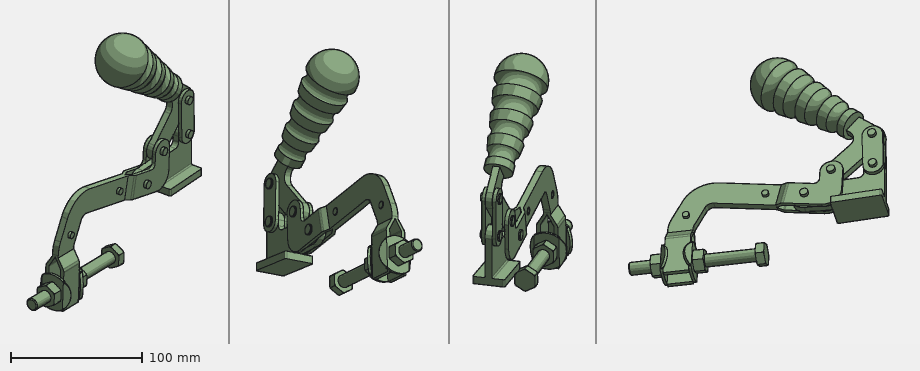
import cadquery as cq
import math


core_half = 2.8
link_outer = 5.8
arm_sheet = 2.8

link_low_pivot = (8.4, 38.0)
link_top_pivot = (9.0, 68.0)
lobe_pivot = (40.9, 38.0)
arm_pivot = (61.8, 18.7)
link_radius = 8.0

pivot_rivet = (-7.2, 4.2, 8.4, 3.2)
arm_rivet = (-3.2, 3.0, 5.2, 2.5)
rivet_chamfer = 0.4

pad_length = 40.3
pad_width = 25.5
pad_height = 6.0
pad_fillet = 1.0
pad_corner = 1.2
post_width = 16.4
base_end_radius = 10.5
base_top = arm_pivot[1] + base_end_radius
base_front = arm_pivot[0] + base_end_radius
base_fillet = 4.0

handle_half_width = 8.8
handle_inner_fillet = 8.5
stem_half_width = 7.5
stem_inset = 10.0
grip_start = (25.0, 84.0)
grip_angle = 41.2
collar_radius = 11.4
collar_length = 6.8
band_start = 16.5
band_length = 8.8
band_pitch = 20.0
band_count = 3
band_radius = 12.8
band_growth = 1.4
band_step = 2.5
groove_radius = 10.2
groove_step = 2.4
ball_radius = 21.0
ball_place = 78.4

arm_half_width = 10.0
arm_bend_radius = 16.0
arm_fold_radius = 4.8
arm_angle = 13.0
slope_angle = -62.0
fork_angle = -87.2
rear_rivet = (92.7, 26.1)
front_rivet = (154.5, 16.4)
arm_bend = (143.0, 37.7)
slope_length = 34.3
joggle_start = -15.8
joggle_end = -10.2
arm_reach = 119.7
lobe_radius = 9.0
lobe_heel_radius = 13.0
lobe_throat_radius = 4.0

fork_outer = 8.5
fork_sheet = 3.2
spread_start = 5.4
spread_end = 14.5
bolt_drop = 35.0
fork_end = bolt_drop + 14.5

bolt_radius = 5.0
hex_flats = 16.4
hex_chamfer = 0.5
head_near = 61.2
head_thickness = 6.8
nut_thickness = 8.5
tip_place = 38.5
tip_chamfer = 0.8
washer_thickness = 2.2
washer_height = 30.0
washer_width = 32.7
washer_flat_half = 10.0
ear_bend = 45.0

shortest_edge = 1.99e-06


def heading(angle):
    return (math.cos(math.radians(angle)), math.sin(math.radians(angle)))


def shifted(point, angle, along, left=0.0):
    """Point moved along a heading and to the left of it."""
    c, s = heading(angle)
    return (point[0] + along * c - left * s, point[1] + along * s + left * c)


def crossing(p, p_angle, q, q_angle):
    """Crossing of two lines, each given by a point and a heading."""
    pc, ps = heading(p_angle)
    qc, qs = heading(q_angle)
    along = ((q[0] - p[0]) * qs - (q[1] - p[1]) * qc) / (pc * qs - ps * qc)
    return (p[0] + along * pc, p[1] + along * ps)


def side_plane(x=0.0, origin=(0.0, 0.0), angle=0.0):
    """Side plane facing -X, with its first axis along a (forward, height) heading."""
    c, s = heading(angle)
    return cq.Plane(origin=(x, -origin[0], origin[1]), xDir=(0, -c, s), normal=(-1, 0, 0))


def edge_plane(origin, angle):
    """Plane spanned by a (forward, height) heading and the +X axis."""
    c, s = heading(angle)
    return cq.Plane(origin=(0, -origin[0], origin[1]), xDir=(0, -c, s), normal=(0, s, c))


def rounded_outline(workplane, corners):
    """Closed outline from (point, radius) corners."""
    stations = []
    for i, (point, radius) in enumerate(corners):
        before = corners[i - 1][0]
        after = corners[(i + 1) % len(corners)][0]
        back = math.atan2(before[1] - point[1], before[0] - point[0])
        ahead = math.atan2(after[1] - point[1], after[0] - point[0])
        half = abs(math.remainder(ahead - back, 2 * math.pi)) / 2
        trim = radius / math.tan(half)
        bisector = back + math.remainder(ahead - back, 2 * math.pi) / 2
        sagitta = radius / math.sin(half) - radius
        stations.append([
            (point[0] + d * math.cos(a), point[1] + d * math.sin(a))
            for d, a in ((trim, back), (sagitta, bisector), (trim, ahead))
        ])
    last = stations[0][2]
    outline = workplane.moveTo(*last)
    for start, middle, end in stations[1:] + stations[:1]:
        if math.dist(last, start) > shortest_edge:
            outline = outline.lineTo(*start)
        if math.dist(start, end) > shortest_edge:
            outline = outline.threePointArc(middle, end)
        last = end
    return outline.close()


def plate(corners, half_thickness):
    outline = rounded_outline(cq.Workplane(side_plane()), corners)
    return outline.extrude(half_thickness, both=True)


def with_mirror(body):
    return body.union(body.mirror("YZ"))


def make_base():
    pad = (
        cq.Workplane("XY")
        .box(pad_width, pad_length, pad_height, centered=(True, False, False))
        .translate((0, -pad_length, 0))
        .edges("|Z").fillet(pad_corner)
    )
    foot_half = core_half + pad_fillet
    foot = (
        cq.Workplane("XZ", origin=(0, 0, pad_height))
        .moveTo(-foot_half, 0)
        .radiusArc((-core_half, pad_fillet), -pad_fillet)
        .lineTo(core_half, pad_fillet)
        .radiusArc((foot_half, 0), -pad_fillet)
        .close()
        .extrude(pad_length)
    )
    post_top = link_low_pivot[1] + link_radius
    web = plate([
        ((0, 0), 0),
        ((0, post_top), link_radius),
        ((post_width, post_top), link_radius),
        ((post_width, base_top), base_fillet),
        ((base_front, base_top), base_end_radius),
        ((base_front, arm_pivot[1] - base_end_radius), base_end_radius),
        ((pad_length, pad_height), 0),
        ((pad_length, 0), 0),
    ], core_half)
    return pad.union(foot).union(web)


def make_link():
    rise = link_top_pivot[1] - link_low_pivot[1]
    lean = link_top_pivot[0] - link_low_pivot[0]
    middle = (
        (link_low_pivot[0] + link_top_pivot[0]) / 2,
        (link_low_pivot[1] + link_top_pivot[1]) / 2,
    )
    return (
        cq.Workplane(side_plane(-core_half, middle, math.degrees(math.atan2(rise, lean))))
        .slot2D(math.hypot(rise, lean) + 2 * link_radius, 2 * link_radius)
        .extrude(link_outer - core_half)
    )


def make_handle_plate():
    leg_angle = math.degrees(math.atan2(
        lobe_pivot[1] - link_top_pivot[1], lobe_pivot[0] - link_top_pivot[0]))
    upper = shifted(lobe_pivot, leg_angle, handle_half_width, handle_half_width)
    lower = shifted(lobe_pivot, leg_angle, handle_half_width, -handle_half_width)
    stem_left = shifted(grip_start, grip_angle, stem_inset, stem_half_width)
    stem_right = shifted(grip_start, grip_angle, stem_inset, -stem_half_width)
    return plate([
        (stem_left, 0),
        (stem_right, 0),
        (crossing(stem_right, grip_angle, upper, leg_angle), handle_inner_fillet),
        (upper, handle_half_width),
        (lower, handle_half_width),
        (crossing(lower, leg_angle, stem_left, grip_angle), handle_half_width),
    ], core_half)


def make_grip():
    profile = (
        cq.Workplane(side_plane(0, grip_start, grip_angle))
        .lineTo(0, collar_radius)
        .lineTo(collar_length, collar_radius)
    )
    last = collar_length
    for i in range(band_count):
        start = band_start + i * band_pitch
        radius = band_radius + i * band_step
        profile = (
            profile
            .threePointArc(((last + start) / 2, groove_radius + i * groove_step), (start, radius))
            .lineTo(start + band_length, radius + band_growth)
        )
        last = start + band_length
    ball_start = band_start + band_count * band_pitch
    ball_edge = math.sqrt(ball_radius**2 - (ball_place - ball_start)**2)
    groove = ((last + ball_start) / 2, groove_radius + band_count * groove_step)
    return (
        profile
        .threePointArc(groove, (ball_start, ball_edge))
        .threePointArc((ball_place, ball_radius), (ball_place + ball_radius, 0))
        .close()
        .revolve(360, (0, 0), (1, 0))
    )


slope_end = shifted(arm_bend, slope_angle, slope_length)


def make_arm():
    """Two plates: spread around the base, pressed together ahead of the joggle."""
    def edge_corner(point, angle_in, angle_out, left):
        return crossing(
            shifted(point, angle_in, 0, left), angle_in,
            shifted(point, angle_out, 0, left), angle_out)

    def bend_corners(left):
        radius = arm_bend_radius + left
        return [
            (edge_corner(arm_bend, arm_angle, slope_angle, left), radius),
            (edge_corner(slope_end, slope_angle, fork_angle, left), radius),
            (shifted(slope_end, fork_angle, spread_start, left), 0),
        ]

    lobe_rear = shifted(lobe_pivot, fork_angle, 0, -lobe_radius)
    lobe_front = shifted(lobe_pivot, fork_angle, 0, lobe_radius)
    top_edge = shifted(rear_rivet, arm_angle, 0, arm_half_width)
    bottom_edge = shifted(rear_rivet, arm_angle, 0, -arm_half_width)
    silhouette = plate([
        (shifted(lobe_rear, fork_angle, -lobe_radius), lobe_radius),
        (shifted(lobe_front, fork_angle, -lobe_radius), lobe_radius),
        (crossing(lobe_front, fork_angle, top_edge, arm_angle), lobe_throat_radius),
        *bend_corners(arm_half_width),
        *reversed(bend_corners(-arm_half_width)),
        (crossing(bottom_edge, arm_angle, lobe_rear, fork_angle), lobe_heel_radius),
    ], link_outer)
    layer_outline = rounded_outline(cq.Workplane(edge_plane(rear_rivet, arm_angle)), [
        ((-arm_reach, link_outer), 0),
        ((joggle_start, link_outer), arm_fold_radius),
        ((joggle_end, arm_sheet), 0),
        ((arm_reach, arm_sheet), 0),
        ((arm_reach, 0), 0),
        ((joggle_end, 0), 0),
        ((joggle_start, core_half), arm_fold_radius - arm_sheet),
        ((-arm_reach, core_half), 0),
    ])
    layer = layer_outline.extrude(arm_reach, both=True)
    return silhouette.intersect(with_mirror(layer))


def make_fork():
    fork_inner = fork_outer - fork_sheet
    prong = rounded_outline(cq.Workplane(edge_plane(slope_end, fork_angle)), [
        ((spread_start, 0), 0),
        ((spread_start, arm_sheet), 0),
        ((spread_end, fork_outer), arm_fold_radius),
        ((fork_end, fork_outer), 0),
        ((fork_end, fork_inner), 0),
        ((spread_end, fork_inner), arm_fold_radius - fork_sheet),
    ])
    prong = prong.extrude(arm_half_width, both=True)
    return with_mirror(prong)


bolt_centre = shifted(slope_end, fork_angle, bolt_drop)
bolt_angle = fork_angle + 90


def along_bolt(place):
    """Workplane across the bolt, facing the tip, with its first axis along +X."""
    c, s = heading(bolt_angle)
    f, h = shifted(bolt_centre, bolt_angle, place)
    return cq.Workplane(cq.Plane(origin=(0, -f, h), xDir=(1, 0, 0), normal=(0, -c, s)))


def hexagon(start, thickness):
    """Hexagon with corners up and down, chamfered at both ends."""
    corner_diameter = hex_flats / math.cos(math.radians(30))
    prism = (
        along_bolt(start)
        .transformed(rotate=(0, 0, 90))
        .polygon(6, corner_diameter)
        .extrude(thickness)
    )
    blank = along_bolt(start).circle(corner_diameter / 2).extrude(thickness)
    return prism.intersect(blank.faces("<Y or >Y").chamfer(hex_chamfer))


def make_washer(side):
    """Washer with its two ears bent back over the fork prongs."""
    outer_face = arm_half_width + washer_thickness
    disc = along_bolt(arm_half_width).ellipse(washer_width / 2, washer_height / 2).extrude(washer_thickness)
    half = along_bolt(0).rect(2 * washer_flat_half, 2 * washer_height).extrude(2 * outer_face)
    knee = along_bolt(outer_face).plane.toWorldCoords
    ears = with_mirror(
        disc.cut(half.translate((-washer_flat_half, 0, 0)).union(half))
        .rotate(knee((washer_flat_half, 0, 0)), knee((washer_flat_half, 2, 0)), ear_bend)
    )
    washer = disc.intersect(half).union(ears)
    if side > 0:
        return washer
    across = along_bolt(0).plane
    return washer.rotate(across.origin, across.origin + across.yDir, 180)


def make_bolt():
    shaft = along_bolt(-head_near).circle(bolt_radius).extrude(head_near + tip_place)
    shaft = shaft.faces("<Y").chamfer(tip_chamfer)
    nut_start = arm_half_width + washer_thickness
    body = shaft.union(hexagon(-head_near - head_thickness, head_thickness))
    for start in (nut_start, -nut_start - nut_thickness):
        body = body.union(hexagon(start, nut_thickness))
    for side in (1, -1):
        body = body.union(make_washer(side))
    return body


def make_rivet(place, sizes):
    head_x, head_radius, tail_x, tail_radius = sizes
    head = cq.Workplane(side_plane(0, place)).circle(head_radius).extrude(-head_x)
    head = head.faces("<X").chamfer(rivet_chamfer)
    tail = cq.Workplane(side_plane(0, place)).circle(tail_radius).extrude(-tail_x)
    return head.union(tail)


result = make_base().union(with_mirror(make_link())).union(make_handle_plate()).union(make_grip())
result = result.union(make_arm()).union(make_fork()).union(make_bolt())
for pivot in (link_low_pivot, link_top_pivot, lobe_pivot, arm_pivot):
    result = result.union(make_rivet(pivot, pivot_rivet))
for place in (rear_rivet, front_rivet):
    result = result.union(make_rivet(place, arm_rivet))